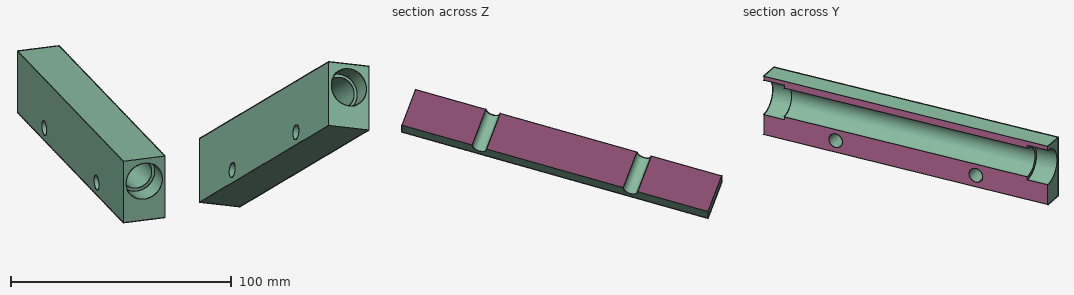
import cadquery as cq

length = 146.0
width = 20.0
height = 30.0

bore_diameter = 14.5
counterbore_diameter = 17.4
counterbore_depth = 10.5
bore_below_top = 11.0

cross_hole_diameter = 6.7
cross_hole_spacing = 72.0
cross_hole_height = 6.0


def cylinder_along_x(diameter, start, depth):
    """Cylinder on the bore axis, starting at x = start."""
    return (
        cq.Workplane("YZ", origin=(start, 0, height - bore_below_top))
        .circle(diameter / 2)
        .extrude(depth)
    )


block = cq.Workplane("XY").box(length, width, height, centered=(True, True, False))

bore = cylinder_along_x(bore_diameter, -length / 2, length)
for start in (-length / 2, length / 2 - counterbore_depth):
    bore = bore.union(cylinder_along_x(counterbore_diameter, start, counterbore_depth))

cross_holes = (
    cq.Workplane("XZ", origin=(0, width / 2, cross_hole_height))
    .pushPoints([(-cross_hole_spacing / 2, 0), (cross_hole_spacing / 2, 0)])
    .circle(cross_hole_diameter / 2)
    .extrude(width)
)

result = block.cut(bore).cut(cross_holes)